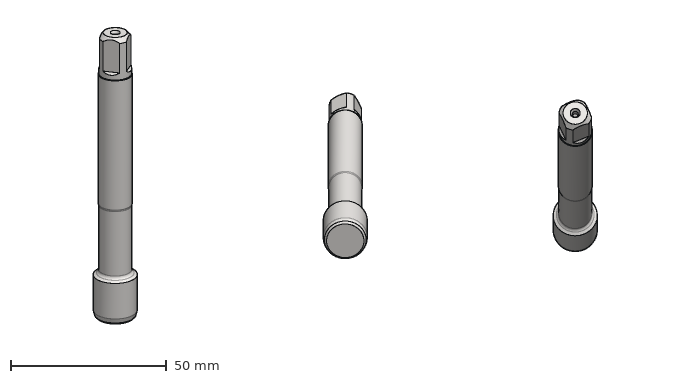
import cadquery as cq
import math

total_length = 100
shank_radius = 11 / 2
neck_radius = 10.7 / 2
collar_radius = 10.6 / 2
head_radius = 14.2 / 2

lead_top = 2.3
head_shoulder_height = 14.8
shank_bottom = 39.3
shank_top = 85.6

shank_bevel_height = 0.6
shank_top_bevel = shank_radius - collar_radius

tip_chamfer = 0.7
lead_radius = 6.7
tip_radius = lead_radius - tip_chamfer

shoulder_angle = math.radians(30)
shoulder_blend_radius = 1.4

square_width = 9
square_bottom = 88
cutter_margin = 1
drive_top_radius = 3.9
drive_chamfer_height = 1.6

pilot_radius = 2 / 2
countersink_radius = 3.2 / 2
countersink_angle = math.radians(30)
pilot_length = 2
drill_point_angle = math.radians(60)


def revolve(points):
    """Turn a closed radius-height outline about the Z axis."""
    return cq.Workplane("XZ").polyline(points).close().revolve(360, (0, 0), (0, 1))


def make_head():
    """Working head with a tapered lower end, below the conical shoulder."""
    return revolve(
        [
            (0, 0),
            (tip_radius, 0),
            (lead_radius, tip_chamfer),
            (head_radius, lead_top),
            (head_radius, head_shoulder_height),
            (0, head_shoulder_height),
        ]
    )


def make_shaft_blank():
    """Turned shaft, with a tangent fillet between the shoulder cone and the neck."""
    cone_top = head_shoulder_height + (head_radius - neck_radius) * math.tan(shoulder_angle)
    turn = math.pi / 2 - shoulder_angle
    blend_top = cone_top + shoulder_blend_radius * math.tan(turn / 2)
    blend_centre = neck_radius + shoulder_blend_radius

    def blend_point(angle):
        return (
            blend_centre - shoulder_blend_radius * math.cos(angle),
            blend_top - shoulder_blend_radius * math.sin(angle),
        )

    return (
        cq.Workplane("XZ")
        .moveTo(0, head_shoulder_height)
        .lineTo(head_radius, head_shoulder_height)
        .lineTo(*blend_point(turn))
        .threePointArc(blend_point(turn / 2), blend_point(0))
        .lineTo(neck_radius, shank_bottom)
        .lineTo(shank_radius, shank_bottom + shank_bevel_height)
        .lineTo(shank_radius, shank_top - shank_top_bevel)
        .lineTo(collar_radius, shank_top)
        .lineTo(collar_radius, total_length - drive_chamfer_height)
        .lineTo(drive_top_radius, total_length)
        .lineTo(0, total_length)
        .close()
        .revolve(360, (0, 0), (0, 1))
    )


def make_square_cutter():
    """Material around the square, ending below in a 45 degree cone."""
    half_width = square_width / 2
    reach = shank_radius + cutter_margin
    cutter = None
    for quarter in range(4):
        flat = (
            cq.Workplane("XZ")
            .polyline(
                [
                    (half_width, square_bottom),
                    (reach, square_bottom - (reach - half_width)),
                    (reach, total_length),
                    (half_width, total_length),
                ]
            )
            .close()
            .extrude(reach, both=True)
            .rotate((0, 0, 0), (0, 0, 1), 90 * quarter)
        )
        cutter = flat if cutter is None else cutter.union(flat)
    return cutter


def make_centre_hole():
    countersink_depth = (countersink_radius - pilot_radius) / math.tan(countersink_angle)
    pilot_top = total_length - countersink_depth
    pilot_bottom = pilot_top - pilot_length
    point_bottom = pilot_bottom - pilot_radius / math.tan(drill_point_angle)
    return revolve(
        [
            (0, total_length),
            (countersink_radius, total_length),
            (pilot_radius, pilot_top),
            (pilot_radius, pilot_bottom),
            (0, point_bottom),
        ]
    )


def make_shaft():
    """Shoulder, neck, shank and square drive, standing on the head."""
    return make_shaft_blank().cut(make_square_cutter()).cut(make_centre_hole())


head = make_head()
shaft = make_shaft()

result = cq.Compound.makeCompound([head.val(), shaft.val()])